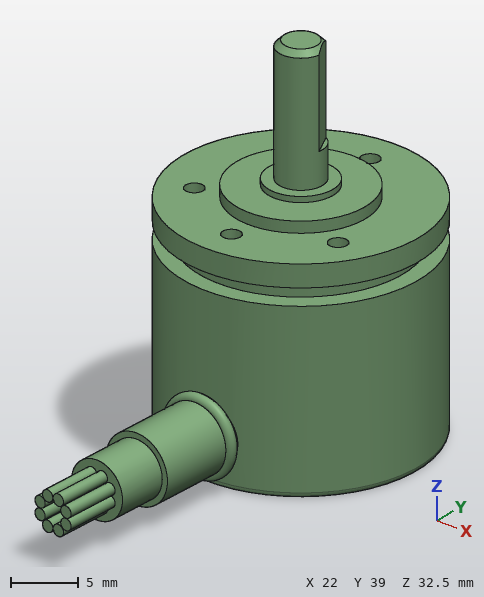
import cadquery as cq
import math

body_diameter = 22.0
body_radius = body_diameter / 2
body_top = 16.0
bottom_fillet = 0.5
groove_diameter = 19.0
flange_bottom = 17.5
flange_top = 19.5
boss_diameter = 12.0
boss_height = 1.0
collar_diameter = 6.0
collar_height = 0.5
shaft_diameter = 4.0
shaft_top = 32.5
shaft_chamfer = 0.5

flat_distance = 1.65
flat_angle = 27
flat_bottom = 24.0

hole_diameter = 1.6
hole_circle_radius = 8.0
hole_depth = 5.0
drill_tip_angle = 118
hole_angles = (90, 210, 270, 330)

cable_height = 4.0
cable_tilt = 1.0
overall_length = 39.0
sleeve_diameter = 6.0
sleeve_end = 18.52
jacket_diameter = 5.0
jacket_end = 23.0
ring_center = 11.43
ring_thickness = 1.0
root_depth = 1.95
cable_start = body_radius - root_depth
wire_count = 8
wire_diameter = 1.0
wire_circle_radius = 1.35
half_wire_step = 180 / wire_count
bundle_half_width = wire_circle_radius * math.cos(math.radians(half_wire_step)) + wire_diameter / 2
tilt_radians = math.radians(cable_tilt)
wire_reach = overall_length - body_radius
wire_end = (wire_reach - bundle_half_width * math.sin(tilt_radians)) / math.cos(tilt_radians)


def disc(diameter, bottom, top):
    """Upright cylinder on the housing axis."""
    return cq.Workplane("XY").workplane(offset=bottom).circle(diameter / 2).extrude(top - bottom)


def housing():
    boss_top = flange_top + boss_height
    collar_top = boss_top + collar_height
    body = disc(body_diameter, 0, body_top).faces("<Z").fillet(bottom_fillet)
    shaft = disc(shaft_diameter, collar_top, shaft_top).faces(">Z").chamfer(shaft_chamfer)
    return (
        body.union(disc(groove_diameter, body_top, flange_bottom))
        .union(disc(body_diameter, flange_bottom, flange_top))
        .union(disc(boss_diameter, flange_top, boss_top))
        .union(disc(collar_diameter, boss_top, collar_top))
        .union(shaft)
    )


def shaft_flat_cutter():
    """Block whose inner face is the shaft flat; the flat stops above the collar."""
    return (
        cq.Workplane("XY", origin=(0, 0, flat_bottom))
        .rect(shaft_diameter, shaft_diameter)
        .extrude(shaft_top - flat_bottom)
        .translate((flat_distance + shaft_diameter / 2, 0, 0))
        .rotate((0, 0, 0), (0, 0, 1), flat_angle)
    )


def drilled_hole(angle):
    """Blind hole with a conical drill tip, opening in the flange top."""
    radius = hole_diameter / 2
    tip_length = radius / math.tan(math.radians(drill_tip_angle / 2))
    profile = [(0, 0), (radius, 0), (radius, -hole_depth), (0, -hole_depth - tip_length)]
    tool = cq.Workplane("XZ").polyline(profile).close().revolve(360, (0, 0), (0, 1))
    x = hole_circle_radius * math.cos(math.radians(angle))
    y = hole_circle_radius * math.sin(math.radians(angle))
    return tool.translate((x, y, flange_top))


def cable_plane(distance):
    """Plane facing -Y, centred on the untilted cable line at a distance from the housing axis."""
    return cq.Workplane("XZ", origin=(0, -distance, cable_height))


def ring():
    """Collar around the cable sleeve with a half-round rim, tangent to its flat faces."""
    rim_radius = ring_thickness / 2
    inner = sleeve_diameter / 2
    profile = (
        cq.Workplane("YZ", origin=(0, -ring_center, cable_height))
        .moveTo(-rim_radius, 0)
        .lineTo(-rim_radius, inner)
        .threePointArc((0, inner + rim_radius), (rim_radius, inner))
        .lineTo(rim_radius, 0)
        .close()
    )
    return profile.revolve(360, (0, 0), (1, 0))


def cable():
    sleeve = cable_plane(cable_start).circle(sleeve_diameter / 2).extrude(sleeve_end - cable_start)
    jacket = cable_plane(sleeve_end).circle(jacket_diameter / 2).extrude(jacket_end - sleeve_end)
    wires = (
        cable_plane(jacket_end)
        .polarArray(wire_circle_radius, half_wire_step, 360, wire_count)
        .circle(wire_diameter / 2)
        .extrude(wire_end - jacket_end)
    )
    straight = sleeve.union(ring()).union(jacket).union(wires)
    return straight.rotate((0, 0, 0), (0, 0, 1), -cable_tilt)


result = housing().union(cable()).cut(shaft_flat_cutter())
for hole_angle in hole_angles:
    result = result.cut(drilled_hole(hole_angle))